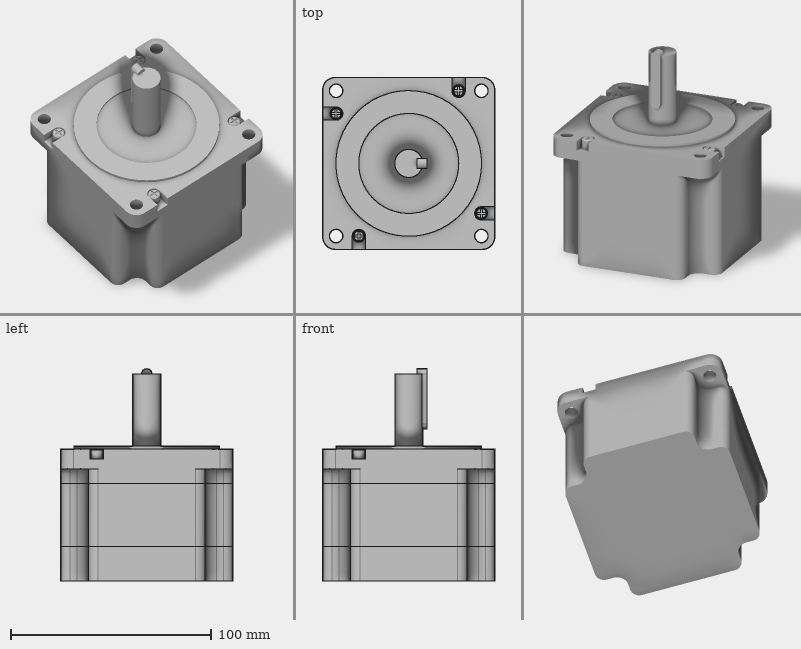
import cadquery as cq
import math


body_width = 86.0
half_width = body_width / 2
cover_height = 17.2
stator_height = 31.6
front_height = 17.2
front_face_z = cover_height + stator_height + front_height

relief_depth = 14.0
relief_edge_radius = 4.7
relief_root_radius = 5.7

flange_thickness = 10.0
flange_corner_radius = 6.4
mount_hole_diameter = 6.6
mount_offset = 36.3

pilot_diameter = 72.8
pilot_height = 1.5
recess_diameter = 50.0
recess_depth = 1.0

shaft_diameter = 14.0
shaft_length = 37.6
shaft_top_z = front_face_z + shaft_length
key_width = 5.1
key_inner_x = 4.0
key_height = 5.1
key_straight_length = 25.0

screw_shift = 24.9
notch_width = 6.7
notch_depth = 5.0
screw_head_diameter = 6.0
screw_chamfer = 0.5
cross_length = 4.5
cross_slot_width = 1.1
cross_slot_depth = 0.7

QUARTER_TURNS = (0, 90, 180, 270)
Z_AXIS = ((0, 0, 0), (0, 0, 1))


def turned(shape, angle):
    """Copy of a shape turned about the motor axis."""
    return shape.rotate(*Z_AXIS, angle)


def relief_cutter(bottom_z, height):
    """Prism that removes the relief at the +X +Y corner."""
    wall = half_width - relief_depth
    mouth_start = wall - relief_edge_radius
    mouth_end = half_width - relief_edge_radius
    root_centre = wall + relief_root_radius
    edge_mid = relief_edge_radius * math.sqrt(0.5)
    root_mid = root_centre - relief_root_radius * math.sqrt(0.5)
    return (
        cq.Workplane("XY", origin=(0, 0, bottom_z))
        .moveTo(half_width, half_width)
        .lineTo(mouth_start, half_width)
        .threePointArc((mouth_start + edge_mid, mouth_end + edge_mid), (wall, mouth_end))
        .lineTo(wall, root_centre)
        .threePointArc((root_mid, root_mid), (root_centre, wall))
        .lineTo(mouth_end, wall)
        .threePointArc((mouth_end + edge_mid, mouth_start + edge_mid), (half_width, mouth_start))
        .close()
        .extrude(height)
    )


def housing_section(bottom_z, height, relief_height):
    """Square block with its four corners relieved from the bottom up to relief_height."""
    block = (
        cq.Workplane("XY", origin=(0, 0, bottom_z))
        .rect(body_width, body_width)
        .extrude(height)
    )
    cutter = relief_cutter(bottom_z, relief_height)
    for angle in QUARTER_TURNS:
        block = block.cut(turned(cutter, angle))
    return block


def make_shaft():
    """Plain shaft rising from the floor of the pilot recess."""
    floor_z = front_face_z + pilot_height - recess_depth
    return (
        cq.Workplane("XY", origin=(0, 0, floor_z))
        .circle(shaft_diameter / 2)
        .extrude(shaft_top_z - floor_z)
    )


def make_key():
    """Round-ended key on the +X side; its upper round stands above the shaft end."""
    centre_z = shaft_top_z - key_straight_length / 2
    return (
        cq.Workplane("YZ", origin=(key_inner_x, 0, centre_z))
        .slot2D(key_straight_length + key_width, key_width, 90)
        .extrude(key_height)
    )


def notch_cutter():
    """Round-ended notch open to the +Y side, centred on its screw."""
    open_length = half_width - mount_offset
    notch = (
        cq.Workplane("XY", origin=(screw_shift, mount_offset, front_face_z))
        .circle(notch_width / 2)
        .extrude(-notch_depth)
    )
    channel = (
        cq.Workplane("XY", origin=(screw_shift, mount_offset + open_length / 2, front_face_z))
        .rect(notch_width, open_length)
        .extrude(-notch_depth)
    )
    return notch.union(channel)


def screw_head():
    """Chamfered cross-recess head standing on the notch floor, level with the flange face."""
    head = (
        cq.Workplane("XY", origin=(screw_shift, mount_offset, front_face_z - notch_depth))
        .circle(screw_head_diameter / 2)
        .extrude(notch_depth)
        .faces(">Z")
        .chamfer(screw_chamfer)
    )
    for length, width in ((cross_length, cross_slot_width), (cross_slot_width, cross_length)):
        slot = (
            cq.Workplane("XY", origin=(screw_shift, mount_offset, front_face_z))
            .rect(length, width)
            .extrude(-cross_slot_depth)
        )
        head = head.cut(slot)
    return head


def make_front_flange():
    """Flange with relieved lower part, pilot, notched screws, mounting holes, shaft and key."""
    bottom_z = cover_height + stator_height
    flange = housing_section(bottom_z, front_height, front_height - flange_thickness)

    outline = (
        cq.Workplane("XY", origin=(0, 0, bottom_z))
        .rect(body_width, body_width)
        .extrude(front_height)
        .edges("|Z")
        .fillet(flange_corner_radius)
    )
    flange = flange.intersect(outline)

    pilot = (
        cq.Workplane("XY", origin=(0, 0, front_face_z))
        .circle(pilot_diameter / 2)
        .extrude(pilot_height)
    )
    recess = (
        cq.Workplane("XY", origin=(0, 0, front_face_z + pilot_height))
        .circle(recess_diameter / 2)
        .extrude(-recess_depth)
    )
    flange = flange.union(pilot).cut(recess)

    mount_holes = (
        cq.Workplane("XY", origin=(0, 0, front_face_z))
        .rect(2 * mount_offset, 2 * mount_offset, forConstruction=True)
        .vertices()
        .circle(mount_hole_diameter / 2)
        .extrude(-flange_thickness)
    )
    flange = flange.cut(mount_holes)

    notch = notch_cutter()
    screw = screw_head()
    for angle in QUARTER_TURNS:
        flange = flange.cut(turned(notch, angle)).union(turned(screw, angle))

    return flange.union(make_shaft()).union(make_key())


rear_cover = housing_section(0, cover_height, cover_height)
stator = housing_section(cover_height, stator_height, stator_height)
front_flange = make_front_flange()

result = cq.Compound.makeCompound([rear_cover.val(), stator.val(), front_flange.val()])